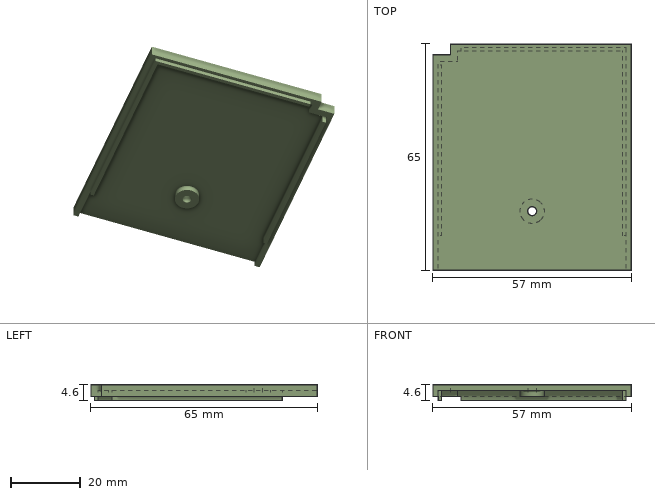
import cadquery as cq

width = 57.0
depth = 65.0
total_height = 4.6

plate_thickness = 1.6
wall_height = 3.4
side_wall = 1.5
back_wall = 2.0

notch_width = 5.0
notch_depth = 3.0
notch_wall = 2.0

lip_thickness = 1.0
lip_notch_gap = 1.0
lip_front_y = 10.0

boss_diameter = 7.0
hole_diameter = 2.5
boss_x = width / 2
boss_y = 17.0

plate_bottom = total_height - plate_thickness
wall_bottom = total_height - wall_height
notch_lining_x = notch_width + notch_wall
notch_lining_y = depth - notch_depth - notch_wall
lip_left = side_wall
lip_right = width - side_wall
lip_back = depth - back_wall + lip_thickness


def block(x_min, x_max, y_min, y_max, z_min, z_max):
    """Axis-aligned box between two opposite corners."""
    size = (x_max - x_min, y_max - y_min, z_max - z_min)
    return cq.Workplane("XY").box(*size, centered=False).translate((x_min, y_min, z_min))


def vertical_cylinder(diameter, z_min, z_max):
    """Upright cylinder on the boss axis."""
    base = cq.Workplane("XY", origin=(boss_x, boss_y, z_min))
    return base.circle(diameter / 2).extrude(z_max - z_min)


def make_shell():
    """Plate with left, right and back walls, open at the front and notched at one corner."""
    shell = block(0, width, 0, depth, wall_bottom, total_height)
    shell = shell.cut(block(side_wall, width - side_wall, 0, depth - back_wall, wall_bottom, plate_bottom))
    shell = shell.union(block(0, notch_lining_x, notch_lining_y, depth, wall_bottom, total_height))
    return shell.cut(block(0, notch_width, depth - notch_depth, depth, wall_bottom, total_height))


def make_lip():
    """Lip along the three walls, interrupted around the notch lining."""
    left_end = notch_lining_y - lip_notch_gap
    back_start = notch_lining_x + lip_notch_gap
    left = block(lip_left, lip_left + lip_thickness, lip_front_y, left_end, 0, plate_bottom)
    right = block(lip_right - lip_thickness, lip_right, lip_front_y, lip_back, 0, plate_bottom)
    back = block(back_start, lip_right, lip_back - lip_thickness, lip_back, 0, plate_bottom)
    return left, right, back


cover = make_shell()
for lip_run in make_lip():
    cover = cover.union(lip_run)

cover = cover.union(vertical_cylinder(boss_diameter, wall_bottom, plate_bottom))
result = cover.cut(vertical_cylinder(hole_diameter, wall_bottom, total_height))